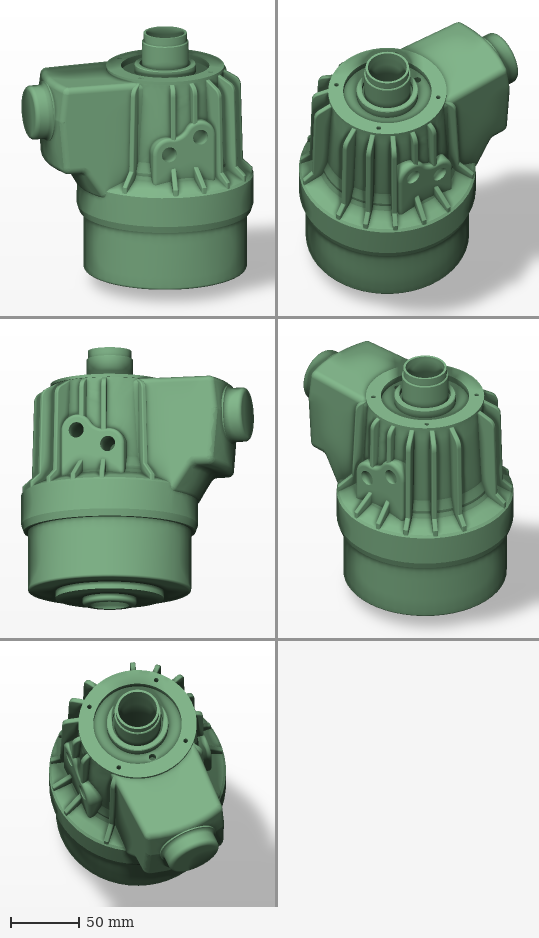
import cadquery as cq
import math

plate_bottom_z = 5.1
can_bottom_z = 10.3
housing_bottom_z = 55.1
band_top_z = 82.3
core_foot_z = 103.2
flange_bottom_z = 162.6
flange_top_z = 165.0
sleeve_top_z = 166.6
shaft_step_z = 184.0
shaft_top_z = 190.0

shaft_radius = 17.1
shaft_end_radius = 16.0
shaft_bore_radius = 14.2
shaft_step_chamfer = 0.5

sleeve_radius = 22.6
sleeve_mouth_radius = 18.8
sleeve_mouth_depth = 3.8
sleeve_chamfer = 0.5

can_radius = 60.0
can_fillet = 1.7
plate_radius = 39.9
hub_radius = 20.0
hub_fillet = 2.3

band_radius = 65.0
band_bottom_chamfer = 1.7
band_bottom_chamfer_height = 5.1
band_top_chamfer = 1.7
shoulder_inner_radius = 51.0
shoulder_inner_z = 90.6
neck_radius = 48.8
neck_bottom_z = 93.5
neck_top_z = 95.8
core_foot_radius = 46.0
core_top_radius = 42.8
flange_radius = 43.5

recess_radius = 32.5
recess_depth = 4.8
flange_hole_radius = 1.7
flange_hole_offset = 26.8
flange_hole_depth = 7.6
pin_hole_radius = 2.7
pin_hole_y = -27.2
pin_hole_depth = 5.7

fin_thickness = 3.8
fin_edge_fillet = 1.0
fin_tip_radius = 64.0
fin_tip_z = 87.8
fin_flare_slope = 0.92
fin_shoulder_slope = 0.57
fin_corner_radius = 7.6
fin_root_radius = 38.0
back_fins = [(angle, 55.5, 57.2) for angle in (20, 40, 60)]
side_fins = [(angle, 49.2, 50.0) for angle in (80, 100)]
front_fins = [(135, 51.0, 53.5)]

bracket_face_x = 49.5
bracket_root_x = 34.2
bracket_bottom_z = 83.6
bracket_radius = 12.0
bracket_fillet = 2.7
rear_lobe_z = 122.7
front_lobe_z = 111.3
bracket_hole_radius = 5.7

box_half_width_back = 35.2
box_half_width_front = 32.0
box_side_draft = 1.0
box_back_y = -19.0
box_reach_y = -98.8
box_bottom_z = 96.3
box_nose_radius = 94.2
nose_upper_draft = 7.0
nose_lower_draft = 4.3
chin_bottom_z = 76.4
chin_tip_radius = 65.2
chin_top_radius = 76.8
chin_knee_fillet = 5.7
box_edge_fillet = 4.5

entry_z = 137.5
entry_radius = 20.0
entry_end_y = -105.0
entry_root_y = -76.0
entry_fillet = 3.0
collar_radius = 22.5
collar_face_y = -92.3


def cylinder(radius, bottom, top):
    return cq.Workplane("XY").workplane(offset=bottom).circle(radius).extrude(top - bottom)


def revolved(points):
    return cq.Workplane("XZ").polyline(points).close().revolve(360, (0, 0, 0), (0, 1, 0))


def make_shaft():
    lower = cylinder(shaft_radius, 0, shaft_step_z).faces(">Z").edges().chamfer(shaft_step_chamfer)
    end = cylinder(shaft_end_radius, 0, shaft_top_z)
    return lower.union(end).cut(cylinder(shaft_bore_radius, 0, shaft_top_z))


def make_sleeve():
    sleeve = cylinder(sleeve_radius, housing_bottom_z, sleeve_top_z)
    sleeve = sleeve.faces(">Z").edges().chamfer(sleeve_chamfer)
    bore = cylinder(shaft_radius, housing_bottom_z, sleeve_top_z)
    mouth = cylinder(sleeve_mouth_radius, sleeve_top_z - sleeve_mouth_depth, sleeve_top_z)
    return sleeve.cut(bore).cut(mouth)


def make_can():
    can = cylinder(can_radius, can_bottom_z, housing_bottom_z).faces("<Z").edges().fillet(can_fillet)
    plate = cylinder(plate_radius, plate_bottom_z, housing_bottom_z)
    hub = cylinder(hub_radius, 0, housing_bottom_z).faces("<Z").edges().fillet(hub_fillet)
    return can.union(plate).union(hub).cut(cylinder(shaft_radius, 0, housing_bottom_z))


def housing_core():
    return revolved([
        (0, housing_bottom_z),
        (band_radius - band_bottom_chamfer, housing_bottom_z),
        (band_radius, housing_bottom_z + band_bottom_chamfer_height),
        (band_radius, band_top_z),
        (band_radius - band_top_chamfer, band_top_z + band_top_chamfer),
        (shoulder_inner_radius, shoulder_inner_z),
        (neck_radius, neck_bottom_z),
        (neck_radius, neck_top_z),
        (core_foot_radius, core_foot_z),
        (core_top_radius, flange_bottom_z),
        (0, flange_bottom_z),
    ])


def fin(angle, top_radius, foot_radius):
    """A radial plate at the given angle from +Y, flared at its foot to the rim of the band."""
    bend_z = fin_tip_z + fin_flare_slope * (fin_tip_radius - foot_radius)
    corner_z = flange_bottom_z - fin_shoulder_slope * (top_radius - core_top_radius)
    outline = [
        (fin_root_radius, band_top_z),
        (fin_tip_radius, band_top_z),
        (fin_tip_radius, fin_tip_z),
        (foot_radius, bend_z),
        (top_radius, corner_z),
        (core_top_radius, flange_bottom_z),
        (fin_root_radius, flange_bottom_z),
    ]
    plate = cq.Workplane("YZ").polyline(outline).close().extrude(fin_thickness / 2, both=True)
    corner = cq.selectors.NearestToPointSelector((0, top_radius, corner_z))
    plate = plate.edges("|X").edges(corner).fillet(fin_corner_radius)
    rim = cq.selectors.BoxSelector(
        (-fin_thickness, core_top_radius, band_top_z + 0.2),
        (fin_thickness, band_radius, flange_bottom_z - 0.2),
    )
    plate = plate.edges(rim).edges("not |X").fillet(fin_edge_fillet)
    return plate.rotate((0, 0, 0), (0, 0, 1), -angle)


def bracket():
    """The bracket on the -X flank, with its face rim rounded."""
    lobe_y = bracket_radius
    half_dy = lobe_y
    half_dz = (rear_lobe_z - front_lobe_z) / 2
    half_gap = math.hypot(half_dy, half_dz)
    rise = math.sqrt((2 * bracket_radius) ** 2 - half_gap**2)
    hollow_y = -rise * half_dz / half_gap
    hollow_z = (rear_lobe_z + front_lobe_z) / 2 + rise * half_dy / half_gap
    rear_joint = ((hollow_y + lobe_y) / 2, (hollow_z + rear_lobe_z) / 2)
    front_joint = ((hollow_y - lobe_y) / 2, (hollow_z + front_lobe_z) / 2)
    hollow_mid = (
        hollow_y + bracket_radius * half_dz / half_gap,
        hollow_z - bracket_radius * half_dy / half_gap,
    )
    body = (
        cq.Workplane("YZ")
        .workplane(offset=-bracket_face_x)
        .moveTo(lobe_y + bracket_radius, bracket_bottom_z)
        .lineTo(lobe_y + bracket_radius, rear_lobe_z)
        .threePointArc((lobe_y, rear_lobe_z + bracket_radius), rear_joint)
        .threePointArc(hollow_mid, front_joint)
        .tangentArcPoint((-lobe_y - bracket_radius, front_lobe_z), relative=False)
        .lineTo(-lobe_y - bracket_radius, bracket_bottom_z)
        .close()
        .extrude(bracket_face_x - bracket_root_x)
    )
    return body.faces("<X").edges("not <Z").fillet(bracket_fillet)


def bracket_holes():
    """Holes of the -X bracket, reaching inwards to the bearing sleeve."""
    centres = [(bracket_radius, rear_lobe_z), (-bracket_radius, front_lobe_z)]
    plane = cq.Workplane("YZ").workplane(offset=-bracket_face_x)
    return plane.pushPoints(centres).circle(bracket_hole_radius).extrude(bracket_face_x)


def terminal_box():
    """Tapered walls closed by a nose and a chin that are both round about the motor axis."""
    plan = (
        cq.Workplane("XY")
        .workplane(offset=chin_bottom_z)
        .polyline([
            (-box_half_width_back, box_back_y),
            (-box_half_width_front, box_reach_y),
            (box_half_width_front, box_reach_y),
            (box_half_width_back, box_back_y),
        ])
        .close()
        .extrude(flange_bottom_z - chin_bottom_z, taper=box_side_draft)
    )
    upper_inset = math.tan(math.radians(nose_upper_draft)) * (flange_bottom_z - entry_z)
    lower_inset = math.tan(math.radians(nose_lower_draft)) * (entry_z - box_bottom_z)
    nose = revolved([
        (0, chin_bottom_z),
        (chin_tip_radius, chin_bottom_z),
        (chin_top_radius, box_bottom_z),
        (box_nose_radius - lower_inset, box_bottom_z),
        (box_nose_radius, entry_z),
        (box_nose_radius - upper_inset, flange_bottom_z),
        (0, flange_bottom_z),
    ])
    box = plan.intersect(nose)
    knee = cq.selectors.BoxSelector(
        (-box_half_width_back, -chin_top_radius - 1.9, box_bottom_z - 0.2),
        (box_half_width_back, -chin_top_radius + 1.9, box_bottom_z + 0.2),
    )
    box = box.edges(knee).fillet(chin_knee_fillet)
    outer_edges = cq.selectors.BoxSelector(
        (-box_half_width_back, box_reach_y, chin_bottom_z - 0.2),
        (box_half_width_back, box_back_y - box_edge_fillet, flange_bottom_z + 0.2),
    )
    return box.edges(outer_edges).fillet(box_edge_fillet)


def cable_entry():
    """A plugged round socket, with a hollow-curved collar that blends it into the nose of the box."""
    blend_radius = collar_radius - entry_radius
    blend_mid = blend_radius * (1 - math.sin(math.radians(45)))
    collar_end = collar_face_y - blend_radius
    outline = (
        cq.Workplane("XY")
        .moveTo(0, entry_end_y)
        .lineTo(entry_radius - entry_fillet, entry_end_y)
        .radiusArc((entry_radius, entry_end_y + entry_fillet), -entry_fillet)
        .lineTo(entry_radius, collar_end)
        .threePointArc(
            (entry_radius + blend_mid, collar_face_y - blend_mid),
            (collar_radius, collar_face_y),
        )
        .lineTo(entry_radius, entry_root_y)
        .lineTo(0, entry_root_y)
        .close()
    )
    return outline.revolve(360, (0, 0, 0), (0, 1, 0)).translate((0, 0, entry_z))


def flange_holes():
    centres = [(x, y) for x in (-flange_hole_offset, flange_hole_offset)
               for y in (-flange_hole_offset, flange_hole_offset)]
    top = cq.Workplane("XY").workplane(offset=flange_top_z)
    return top.pushPoints(centres).circle(flange_hole_radius).extrude(-flange_hole_depth)


def pin_hole():
    floor_z = flange_top_z - recess_depth
    hole = cylinder(pin_hole_radius, floor_z - pin_hole_depth, floor_z)
    return hole.translate((0, pin_hole_y, 0))


def make_housing():
    housing = housing_core()
    for angle, top_radius, foot_radius in back_fins + side_fins + front_fins:
        for turn in (angle, -angle):
            housing = housing.union(fin(turn, top_radius, foot_radius))
    left_bracket = bracket()
    housing = housing.union(left_bracket).union(left_bracket.mirror("YZ"))
    housing = housing.union(terminal_box()).union(cable_entry())
    housing = housing.union(cylinder(flange_radius, flange_bottom_z, flange_top_z))
    left_holes = bracket_holes()
    housing = housing.cut(left_holes).cut(left_holes.mirror("YZ"))
    housing = housing.cut(cylinder(recess_radius, flange_top_z - recess_depth, flange_top_z))
    housing = housing.cut(flange_holes()).cut(pin_hole())
    return housing.cut(cylinder(sleeve_radius, housing_bottom_z, flange_top_z))


shaft = make_shaft()
sleeve = make_sleeve()
can = make_can()
housing = make_housing()

result = cq.Compound.makeCompound([housing.val(), can.val(), sleeve.val(), shaft.val()])